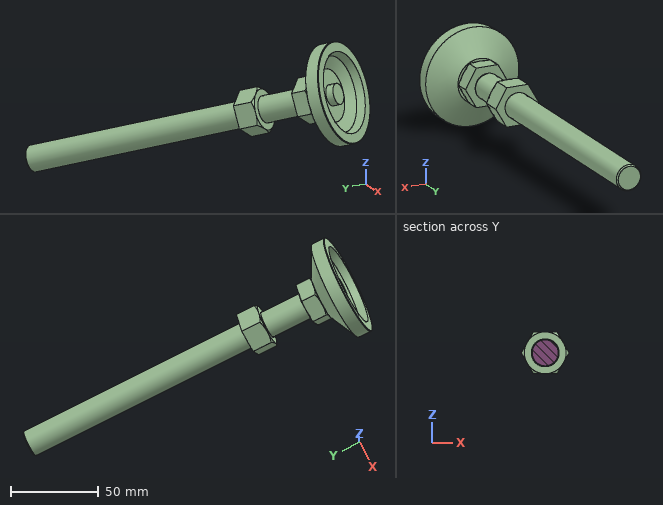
import cadquery as cq
import math


foot_radius = 30.0
foot_rim_height = 8.3
foot_height = 17.0
foot_top_radius = 13.7
foot_edge_chamfer = 0.5
recess_mouth_radius = 24.0
recess_step_radius = 22.4
recess_floor_radius = 15.5
recess_step_depth = 4.8
recess_depth = 8.7

overall_length = 207.0
rod_radius = 16.0 / 2
rod_end_chamfer = 0.8
pin_radius = 6.2
pin_end_y = 4.0
collar_height = 10.0
collar_top_y = foot_height + collar_height
neck_chamfer = 0.6

across_flats = 24.0
across_corners = across_flats / math.cos(math.pi / 6)
hex_chamfer_angle = math.radians(30)

nut_bottom_y = 52.5
nut_height = 12.8


def revolve_profile(points):
    """Revolve (radius, y) points about the Y axis."""
    return cq.Workplane("XY").polyline(points).close().revolve(360, (0, 0, 0), (0, 1, 0))


def cylinder(radius, start_y, end_y):
    """Cylinder on the Y axis between two heights."""
    return revolve_profile([(0, start_y), (radius, start_y), (radius, end_y), (0, end_y)])


def hexagon(bottom_y, height):
    """Hexagonal prism with its corners chamfered on the end nearest the foot."""
    prism = (
        cq.Workplane("XZ", origin=(0, bottom_y, 0))
        .polygon(6, across_corners)
        .extrude(-height)
    )
    face_radius = across_flats / 2
    corner_radius = across_corners / 2
    chamfer_height = (corner_radius - face_radius) * math.tan(hex_chamfer_angle)
    top_y = bottom_y + height
    envelope = revolve_profile([
        (0, bottom_y),
        (face_radius, bottom_y),
        (corner_radius, bottom_y + chamfer_height),
        (corner_radius, top_y),
        (0, top_y),
    ])
    return prism.intersect(envelope)


def make_foot():
    """Conical foot with a stepped recess below and a through hole for the pin."""
    return revolve_profile([
        (pin_radius, recess_depth),
        (recess_floor_radius, recess_depth),
        (recess_step_radius, recess_step_depth),
        (recess_mouth_radius, 0),
        (foot_radius - foot_edge_chamfer, 0),
        (foot_radius, foot_edge_chamfer),
        (foot_radius, foot_rim_height),
        (foot_top_radius, foot_height),
        (pin_radius, foot_height),
    ])


def make_spindle():
    """Rod, hexagon collar and pin in one piece."""
    pin = cylinder(pin_radius, pin_end_y, foot_height)
    collar = hexagon(foot_height, collar_height)
    rod = revolve_profile([
        (0, collar_top_y),
        (rod_radius - neck_chamfer, collar_top_y),
        (rod_radius, collar_top_y + neck_chamfer),
        (rod_radius, overall_length - rod_end_chamfer),
        (rod_radius - rod_end_chamfer, overall_length),
        (0, overall_length),
    ])
    return collar.union(pin).union(rod)


def make_lock_nut():
    """Hexagon nut bored to the rod diameter."""
    bore = cylinder(rod_radius, nut_bottom_y, nut_bottom_y + nut_height)
    return hexagon(nut_bottom_y, nut_height).cut(bore)


foot = make_foot()
spindle = make_spindle()
lock_nut = make_lock_nut()

result = cq.Compound.makeCompound([foot.val(), spindle.val(), lock_nut.val()])